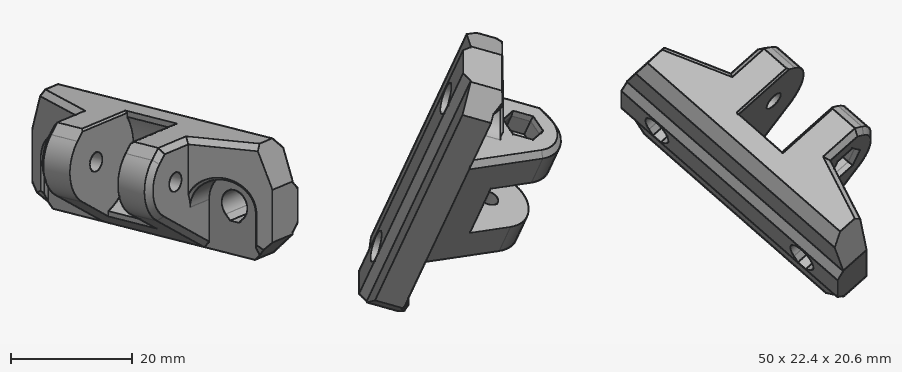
import cadquery as cq
import math


length = 50.0
height = 20.6
floor_thickness = 5.0
end_thickness = 5.45
back_chamfer = 2.0
edge_chamfer = 1.0

bottom_corner = 4.0
end_lean_start = 13.15
end_lean_angle = 20.0

rib_bottom = 4.3
rib_top = 12.95
rib_depth = 1.35

pin_distance = 14.05
pin_height = 14.0
pin_diameter = 3.3
lug_radius = 7.0
lug_half_width = 11.5

shoulder_depth = 10.6
toe_height = 1.05
toe_angle = 57.0
toe_top = 7.0

slot_width = 10.0
slot_radius = 10.0
slot_back = 5.75
slot_front = 10.75
slot_chamfer = 0.35

nut_flats = 5.75
nut_depth = 4.0
nut_lead_in_flats = 6.05
nut_lead_in_depth = 1.0

screw_spacing = 33.5
screw_height = 8.6
screw_diameter = 5.3
screw_flat_drop = 2.85
head_radius = 5.25
head_chamfer = 0.5

half_length = length / 2
root_two = math.sqrt(2)
clear = 5.0


def make_lugs():
    """Solid block for both lugs, rounded around the pin axis, with bevelled sides."""
    run = pin_distance - floor_thickness
    reach = math.hypot(run, pin_height)
    slope = math.atan2(pin_height, run) - math.asin(lug_radius / reach)
    tangent_length = math.sqrt(reach**2 - lug_radius**2)
    underside_end = (-floor_thickness - tangent_length * math.cos(slope), tangent_length * math.sin(slope))

    half_chord = lug_radius / root_two
    top_end = pin_distance + lug_radius * root_two - (height - pin_height)

    lugs = (
        cq.Workplane("YZ")
        .moveTo(0, 0)
        .lineTo(0, height - back_chamfer)
        .lineTo(-back_chamfer, height)
        .lineTo(-top_end, height)
        .lineTo(-pin_distance - half_chord, pin_height + half_chord)
        .threePointArc((-pin_distance - lug_radius, pin_height), underside_end)
        .lineTo(-floor_thickness, 0)
        .close()
        .extrude(lug_half_width, both=True)
    )
    in_front_of_floor = cq.selectors.BoxSelector(
        (-length, -floor_thickness, 0), (length, -length, 2 * height)
    )
    side_edges = lugs.faces("<X or >X").edges(in_front_of_floor)
    return side_edges.chamfer(edge_chamfer)


def make_plate():
    """Flat plate with the bevelled top back edge and the locating rib."""
    return (
        cq.Workplane("YZ")
        .polyline([
            (0, 0),
            (0, rib_bottom),
            (rib_depth, rib_bottom + rib_depth),
            (rib_depth, rib_top - rib_depth),
            (0, rib_top),
            (0, height - back_chamfer),
            (-back_chamfer, height),
            (-floor_thickness, height),
            (-floor_thickness, 0),
        ])
        .close()
        .extrude(half_length, both=True)
    )


def make_shoulder():
    """+X shoulder: slanted front face with a round-topped recess for the screw head."""
    inner = lug_half_width - edge_chamfer
    slant = (shoulder_depth - end_thickness) / (half_length - lug_half_width)
    inner_depth = shoulder_depth + slant * edge_chamfer
    back = floor_thickness / 2

    shoulder = (
        cq.Workplane("XY")
        .polyline([
            (inner, -back),
            (half_length, -back),
            (half_length, -end_thickness),
            (inner, -inner_depth),
        ])
        .close()
        .extrude(height)
    )
    on_slant = cq.selectors.BoxSelector(
        (lug_half_width, -end_thickness, 0), (half_length, -inner_depth, 2 * height)
    )
    shoulder = shoulder.faces(">Z").edges(on_slant).chamfer(edge_chamfer)

    screw_x = screw_spacing / 2
    recess = (
        cq.Workplane("XZ", origin=(screw_x, -floor_thickness, 0))
        .moveTo(-head_radius, 0)
        .lineTo(-head_radius, screw_height)
        .threePointArc((0, screw_height + head_radius), (head_radius, screw_height))
        .lineTo(head_radius, 0)
        .close()
        .extrude(length)
    )
    shoulder = shoulder.cut(recess)

    rim = cq.selectors.BoxSelector(
        (screw_x - head_radius - head_chamfer, -end_thickness, screw_height / 3),
        (screw_x + head_radius + head_chamfer, -inner_depth, screw_height + head_radius),
    )
    shoulder = shoulder.edges(rim).chamfer(head_chamfer)

    toe_depth = floor_thickness + (toe_top - toe_height) / math.tan(math.radians(toe_angle))
    toe = (
        cq.Workplane("YZ")
        .polyline([
            (-floor_thickness, 0),
            (-floor_thickness, toe_height),
            (-toe_depth, toe_top),
            (-inner_depth - clear, toe_top),
            (-inner_depth - clear, 0),
        ])
        .close()
        .extrude(length)
    )
    return shoulder.cut(toe)


def make_end_outline():
    """Outline seen along Y, used to trim the ends of the whole body."""
    lean = (height - end_lean_start) * math.tan(math.radians(end_lean_angle))
    right = [
        (half_length - bottom_corner, 0),
        (half_length, bottom_corner),
        (half_length, end_lean_start),
        (half_length - lean, height),
    ]
    left = [(-x, z) for x, z in reversed(right)]
    return cq.Workplane("XZ").polyline(right + left).close().extrude(length, both=True)


def make_slot():
    """Slot between the lugs, hollowed to a clearance arc around the pin axis."""
    def arc_offset(depth):
        return math.sqrt(slot_radius**2 - (pin_distance - depth)**2)

    arc_top = pin_height + arc_offset(slot_back)
    arc_bottom = pin_height - arc_offset(slot_front)
    outer = pin_distance + lug_radius + clear
    return (
        cq.Workplane("YZ")
        .moveTo(-outer, height + clear)
        .lineTo(-slot_back, height + clear)
        .lineTo(-slot_back, arc_top)
        .threePointArc((slot_radius - pin_distance, pin_height), (-slot_front, arc_bottom))
        .lineTo(-slot_front, -clear)
        .lineTo(-outer, -clear)
        .close()
        .extrude(slot_width / 2, both=True)
    )


def make_screw_hole(x):
    """Hole through the plate: round on top, 45 degree sides and a flat at the bottom."""
    radius = screw_diameter / 2
    half_chord = radius / root_two
    half_flat = radius * root_two - screw_flat_drop
    return (
        cq.Workplane("XZ", origin=(x, 0, screw_height))
        .moveTo(-half_flat, -screw_flat_drop)
        .lineTo(-half_chord, -half_chord)
        .threePointArc((0, radius), (half_chord, -half_chord))
        .lineTo(half_flat, -screw_flat_drop)
        .close()
        .extrude(length, both=True)
    )


def make_nut_pocket():
    """Hexagonal pocket with a tapered lead-in, two corners pointing along Y."""
    def hexagon(workplane, flats):
        return workplane.polygon(6, flats / math.cos(math.pi / 6))

    mouth = cq.Workplane("YZ", origin=(-lug_half_width, -pin_distance, pin_height))
    pocket = hexagon(mouth, nut_flats).extrude(nut_depth)
    lead_in = hexagon(hexagon(mouth, nut_lead_in_flats).workplane(offset=nut_lead_in_depth), nut_flats)
    return pocket.union(lead_in.loft(combine=True))


shoulder = make_shoulder()
body = make_plate().union(make_lugs()).union(shoulder).union(shoulder.mirror("YZ"))
body = body.intersect(make_end_outline())

body = body.cut(make_slot())
for side in (-1, 1):
    edge_x = side * slot_width / 2
    slot_top_edge = cq.selectors.BoxSelector(
        (edge_x - slot_chamfer, -length, height - slot_chamfer),
        (edge_x + slot_chamfer, 0, height + slot_chamfer),
    )
    body = body.edges("|Y").edges(slot_top_edge).chamfer(slot_chamfer)

pin_hole = (
    cq.Workplane("YZ", origin=(0, -pin_distance, pin_height))
    .circle(pin_diameter / 2)
    .extrude(length, both=True)
)
body = body.cut(pin_hole).cut(make_nut_pocket())
for x in (-screw_spacing / 2, screw_spacing / 2):
    body = body.cut(make_screw_hole(x))

result = body